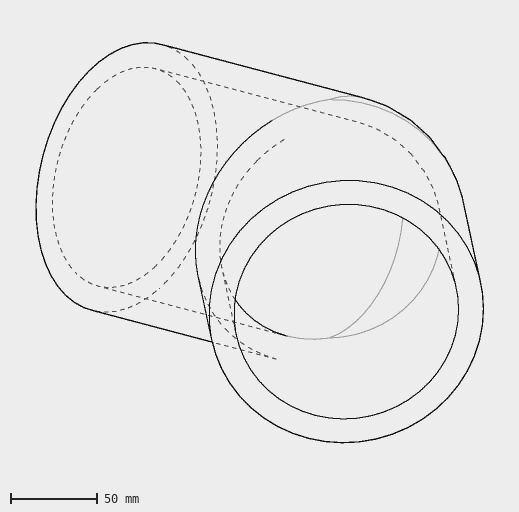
import cadquery as cq
import math

overall_length = 323.7
outer_diameter = 160.0
bore_diameter = 130.8
bend_angle = 45.0

bend = math.radians(bend_angle)
rim_reach = outer_diameter / 2 * math.sin(bend)
leg_length = (overall_length - rim_reach) / (1 + math.cos(bend))

straight_direction = cq.Vector(-1, 0, 0)
angled_direction = cq.Vector(math.cos(bend), -math.sin(bend), 0)


def leg(diameter, direction):
    """Solid cylinder from the bend centre along one leg."""
    return cq.Workplane(cq.Solid.makeCylinder(diameter / 2, leg_length, cq.Vector(0, 0, 0), direction))


def ball_wedge(diameter):
    """Sphere sector that fills the outside of the bend between the two legs."""
    radius = diameter / 2
    return (
        cq.Workplane("YZ")
        .moveTo(0, -radius)
        .threePointArc((radius, 0), (0, radius))
        .close()
        .revolve(bend_angle, (0, 0, 0), (0, -1, 0))
    )


def elbow(diameter):
    """Solid elbow of two mitred legs with a rounded outer corner."""
    legs = leg(diameter, straight_direction).union(leg(diameter, angled_direction))
    return legs.union(ball_wedge(diameter))


result = elbow(outer_diameter).cut(elbow(bore_diameter))